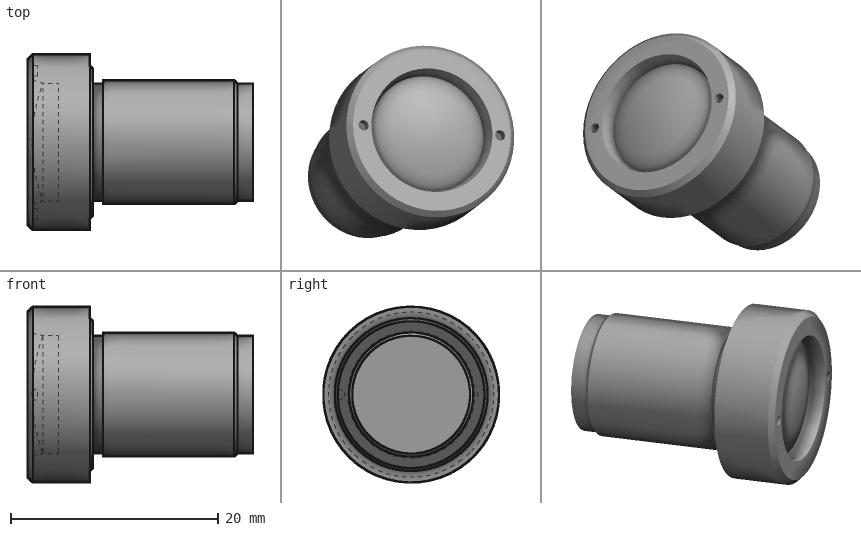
import cadquery as cq

total_length = 21.8
head_front_x = -total_length / 2
tail_end_x = total_length / 2
head_length = 6.04
collar_length = 0.3
neck_length = 0.98
tail_length = 1.53

head_radius = 8.5
collar_radius = 7.4
barrel_radius = 6.0
relief_radius = 5.7

head_chamfer = 0.52
step_chamfer = barrel_radius - relief_radius

mouth_radius = 6.13
lens_radius = 5.7
mouth_depth = 1.5
lens_bulge = 1.05
lens_edge_thickness = 1.5

spanner_hole_diameter = 1.0
spanner_hole_depth = 1.0
spanner_hole_offset = 6.9

lens_rim_x = head_front_x + mouth_depth
lens_back_x = lens_rim_x + lens_edge_thickness


def revolve_about_x(profile):
    """Turn a closed profile, drawn as (x, radius), around the X axis."""
    return profile.close().revolve(360, (0, 0, 0), (1, 0, 0))


def make_barrel():
    """Stepped housing with a tapered mouth, a lens seat and spanner holes."""
    head_back_x = head_front_x + head_length
    collar_end_x = head_back_x + collar_length
    barrel_start_x = collar_end_x + neck_length
    tail_start_x = tail_end_x - tail_length
    barrel_edge_x = tail_start_x - step_chamfer
    collar_edge_radius = collar_radius - collar_length

    body = revolve_about_x(
        cq.Workplane("XY")
        .moveTo(head_front_x, mouth_radius)
        .lineTo(head_front_x, head_radius - head_chamfer)
        .lineTo(head_front_x + head_chamfer, head_radius)
        .lineTo(head_back_x, head_radius)
        .lineTo(head_back_x, collar_radius)
        .lineTo(collar_end_x, collar_edge_radius)
        .lineTo(collar_end_x, relief_radius)
        .lineTo(barrel_start_x, relief_radius)
        .lineTo(barrel_start_x, barrel_radius)
        .lineTo(barrel_edge_x, barrel_radius)
        .lineTo(tail_start_x, relief_radius)
        .lineTo(tail_end_x, relief_radius)
        .lineTo(tail_end_x, 0)
        .lineTo(lens_back_x, 0)
        .lineTo(lens_back_x, lens_radius)
        .lineTo(lens_rim_x, lens_radius)
    )
    spanner_holes = (
        cq.Workplane("YZ", origin=(head_front_x, 0, 0))
        .pushPoints([(-spanner_hole_offset, 0), (spanner_hole_offset, 0)])
        .circle(spanner_hole_diameter / 2)
        .extrude(spanner_hole_depth)
    )
    return body.cut(spanner_holes)


def make_lens():
    """Plano-convex lens with its convex face toward the mouth."""
    apex_x = lens_rim_x - lens_bulge
    sphere_radius = (lens_radius**2 + lens_bulge**2) / (2 * lens_bulge)
    sphere_center_x = apex_x + sphere_radius
    mid_radius = lens_radius / 2
    mid_x = sphere_center_x - (sphere_radius**2 - mid_radius**2) ** 0.5
    return revolve_about_x(
        cq.Workplane("XY")
        .moveTo(apex_x, 0)
        .threePointArc((mid_x, mid_radius), (lens_rim_x, lens_radius))
        .lineTo(lens_back_x, lens_radius)
        .lineTo(lens_back_x, 0)
    )


barrel = make_barrel()
lens = make_lens()

result = cq.Compound.makeCompound([barrel.val(), lens.val()])